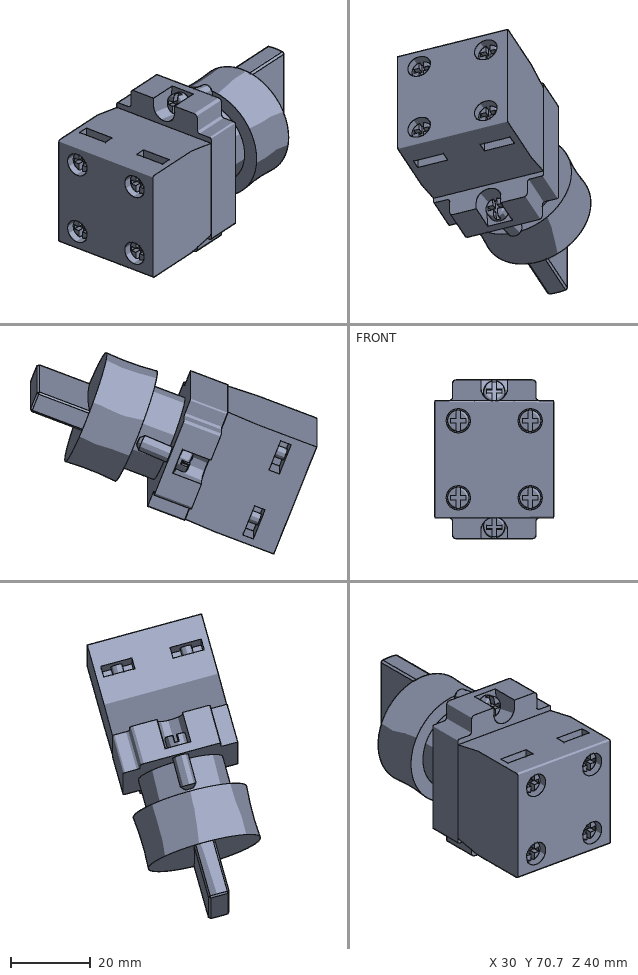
import cadquery as cq
import math


total_length = 70.7

block_width = 29.85
block_height = 29.55
block_length = 24.1
block_taper_length = 8.05
block_rear_height = 26.6
block_edge_radius = 0.6

flange_width = 30.0
flange_length = 10.05
flange_height = 40.0
flange_corner_radius = 0.6
lug_width = 21.1
lug_tip_radius = 1.0
lug_root_radius = 0.85

neck_radius = 11.0
neck_length = 8.9
knob_length = 13.6
knob_rear_radius = 14.85
knob_waist_radius = 14.4
knob_top_radius = 14.6
knob_dome_rise = 0.5
handle_width = 5.45
handle_radius = 14.55
handle_embed = 0.35
handle_edge_chamfer = 0.5

head_radius = 2.7
head_height = 2.75
head_edge_radius = 0.65
drive_slot_width = 1.1
drive_slot_depth = 1.85
drive_short_slot_length = 3.95

terminal_x = 9.05
terminal_z = 9.7
terminal_hole_radius = 3.05
terminal_head_setback = 1.4
terminal_shank_radius = 1.5
wire_entry_width = 8.1
wire_entry_start = 6.3
wire_entry_length = 2.8

clamp_tilt = 10.0
clamp_exit_z = 16.2
clamp_radius = 2.05
clamp_reach = 8.5
clamp_tip_length = 1.05
clamp_tip_radius = 1.0
clamp_seat_depth = 2.9
clamp_pocket_radius = 3.3

flange_end = block_length + flange_length
neck_end = flange_end + neck_length
knob_end = neck_end + knob_length


def cylinder_y(radius, start, end):
    """Round bar about the Y axis between two Y positions."""
    return cq.Workplane("XZ", origin=(0, start, 0)).circle(radius).extrude(start - end)


def contact_block():
    half_height = block_height / 2
    half_rear = block_rear_height / 2
    taper_start = block_length - block_taper_length
    outline = [
        (0, -half_height),
        (taper_start, -half_height),
        (block_length, -half_rear),
        (block_length, half_rear),
        (taper_start, half_height),
        (0, half_height),
    ]
    block = cq.Workplane("YZ").polyline(outline).close().extrude(block_width / 2, both=True)
    return block.faces("<Y").edges("|X").fillet(block_edge_radius)


def flange():
    plane = cq.Workplane("XZ", origin=(0, block_length, 0))
    base = plane.rect(flange_width, block_height).extrude(-flange_length)
    base = base.edges("|Y").fillet(flange_corner_radius)
    lugs = plane.rect(lug_width, flange_height).extrude(-flange_length)
    lugs = lugs.edges("|Y").fillet(lug_tip_radius)
    plate = base.union(lugs)
    half_lug = lug_width / 2
    half_height = block_height / 2
    margin = 0.1
    root_edges = cq.selectors.BoxSelector(
        (-half_lug - margin, block_length - margin, -half_height - margin),
        (half_lug + margin, flange_end + margin, half_height + margin),
    )
    return plate.edges("|Y").edges(root_edges).fillet(lug_root_radius)


def knob():
    waist_y = (neck_end + knob_end) / 2
    apex_y = knob_end + knob_dome_rise
    sphere_radius = (knob_top_radius**2 + knob_dome_rise**2) / (2 * knob_dome_rise)
    mid_radius = knob_top_radius / 2
    mid_y = apex_y - sphere_radius + math.sqrt(sphere_radius**2 - mid_radius**2)
    return (
        cq.Workplane("XY")
        .moveTo(0, neck_end)
        .lineTo(knob_rear_radius, neck_end)
        .threePointArc((knob_waist_radius, waist_y), (knob_top_radius, knob_end))
        .threePointArc((mid_radius, mid_y), (0, apex_y))
        .close()
        .revolve(360, (0, 0, 0), (0, 1, 0))
    )


def handle():
    grip = cylinder_y(handle_radius, knob_end - handle_embed, total_length)
    slab = cq.Workplane("XY").box(handle_width, 2 * total_length, 2 * handle_radius)
    grip = grip.intersect(slab)
    return grip.edges("|Y or >Y").chamfer(handle_edge_chamfer)


def screw_head(seat_y):
    """Cross-recessed head about the Y axis, facing -Y, seated at seat_y."""
    front_y = seat_y - head_height
    slot_y = front_y + drive_slot_depth / 2
    head = cylinder_y(head_radius, front_y, seat_y).faces("<Y").edges().fillet(head_edge_radius)
    long_slot = cq.Workplane("XY").box(drive_slot_width, drive_slot_depth, 2 * head_radius)
    short_slot = cq.Workplane("XY").box(drive_short_slot_length, drive_slot_depth, drive_slot_width)
    return head.cut(long_slot.union(short_slot).translate((0, slot_y, 0)))


def tilt_clamp(shape):
    """Move a shape built about the Y axis, exit at Y = 0, to the upper clamping screw axis."""
    return shape.rotate((0, 0, 0), (1, 0, 0), -clamp_tilt).translate((0, flange_end, clamp_exit_z))


def clamp_pocket():
    """Round-bottomed pocket, open to the lug tip and the flange front."""
    open_height = flange_height / 2
    depth = 2 * flange_length
    round_floor = cylinder_y(clamp_pocket_radius, -depth, -clamp_seat_depth)
    open_side = cq.Workplane("XY").box(2 * clamp_pocket_radius, depth - clamp_seat_depth, open_height)
    open_side = open_side.translate((0, -(depth + clamp_seat_depth) / 2, open_height / 2))
    return tilt_clamp(round_floor.union(open_side))


def clamp_screw():
    shoulder = clamp_reach - clamp_tip_length
    shank = (
        cq.Workplane("XY")
        .moveTo(0, -clamp_seat_depth)
        .lineTo(clamp_radius, -clamp_seat_depth)
        .lineTo(clamp_radius, shoulder)
        .lineTo(clamp_tip_radius, clamp_reach)
        .lineTo(0, clamp_reach)
        .close()
        .revolve(360, (0, 0, 0), (0, 1, 0))
    )
    return tilt_clamp(shank.union(screw_head(-clamp_seat_depth)))


def add_terminals(block):
    seat_y = terminal_head_setback + head_height
    entry_end = wire_entry_start + wire_entry_length
    entry_floor = terminal_z - terminal_hole_radius
    entry_depth = block_height / 2 - entry_floor
    hole = cylinder_y(terminal_hole_radius, 0, seat_y)
    entry = cq.Workplane("XY").box(wire_entry_width, wire_entry_length, entry_depth)
    entry_y = wire_entry_start + wire_entry_length / 2
    shank = cylinder_y(terminal_shank_radius, seat_y, entry_end)
    screw = screw_head(seat_y).union(shank)
    for x in (-terminal_x, terminal_x):
        for side in (-1, 1):
            z = side * terminal_z
            entry_z = side * (entry_floor + entry_depth / 2)
            block = block.cut(hole.translate((x, 0, z)))
            block = block.cut(entry.translate((x, entry_y, entry_z)))
            block = block.union(screw.translate((x, 0, z)))
    return block


def mirrored_down(shape):
    return shape.mirror("XY")


plate = flange()
plate = plate.cut(clamp_pocket()).cut(mirrored_down(clamp_pocket()))

result = plate.union(add_terminals(contact_block()))
result = result.union(cylinder_y(neck_radius, flange_end, neck_end))
result = result.union(knob()).union(handle())
result = result.union(clamp_screw()).union(mirrored_down(clamp_screw()))